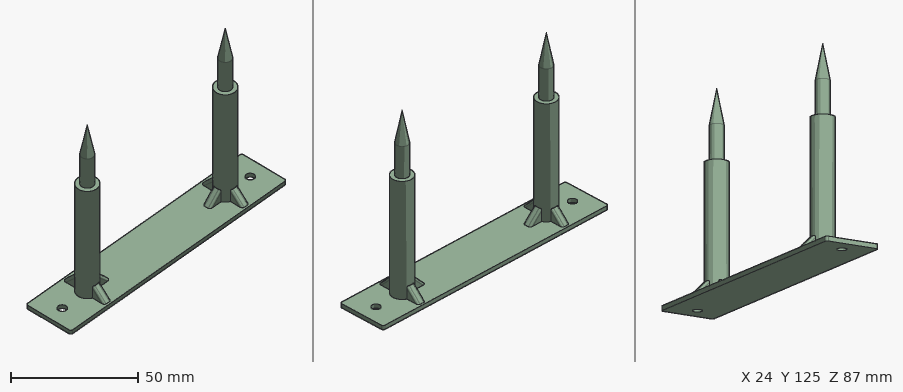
import cadquery as cq

plate_width = 24.0
plate_length = 125.0
plate_thickness = 2.0
plate_corner_radius = 1.0

hole_diameter = 4.0
hole_offset = 54.5

post_offset = 40.0
post_diameter = 10.0
post_height = 55.0
pin_diameter = 6.0
pin_height = 15.0
tip_height = 15.0

rib_reach = 11.0
rib_width = 4.0
rib_edge_radius = 1.0


def make_plate():
    return (
        cq.Workplane("XY")
        .box(plate_width, plate_length, plate_thickness, centered=(True, True, False))
        .edges("|Z")
        .fillet(plate_corner_radius)
        .faces(">Z")
        .workplane()
        .pushPoints([(0, -hole_offset), (0, hole_offset)])
        .hole(hole_diameter)
    )


def make_post():
    """Post, pin and sharp conical tip as one revolved profile standing on the plate."""
    post_radius = post_diameter / 2
    pin_radius = pin_diameter / 2
    post_top = plate_thickness + post_height
    pin_top = post_top + pin_height
    return (
        cq.Workplane("XZ")
        .moveTo(0, plate_thickness)
        .lineTo(post_radius, plate_thickness)
        .lineTo(post_radius, post_top)
        .lineTo(pin_radius, post_top)
        .lineTo(pin_radius, pin_top)
        .lineTo(0, pin_top + tip_height)
        .close()
        .revolve(360, (0, 0, 0), (0, 1, 0))
    )


def make_rib(angle):
    """Flat-topped rib along +X with rounded slope edges, turned by angle about the post axis."""
    post_radius = post_diameter / 2
    rib_height = rib_reach - post_radius
    return (
        cq.Workplane("XZ", origin=(0, 0, plate_thickness))
        .polyline([(0, 0), (rib_reach, 0), (post_radius, rib_height), (0, rib_height)])
        .close()
        .extrude(rib_width / 2, both=True)
        .faces(">(1, 0, 1)")
        .edges("|(1, 0, -1)")
        .fillet(rib_edge_radius)
        .rotate((0, 0, 0), (0, 0, 1), angle)
    )


def make_spike(side):
    """Post with ribs to both long edges and one rib facing the plate centre."""
    spike = make_post()
    for angle in (0, 180, -90 * side):
        spike = spike.union(make_rib(angle))
    return spike.translate((0, side * post_offset, 0))


result = make_plate()
for side in (-1, 1):
    result = result.union(make_spike(side))